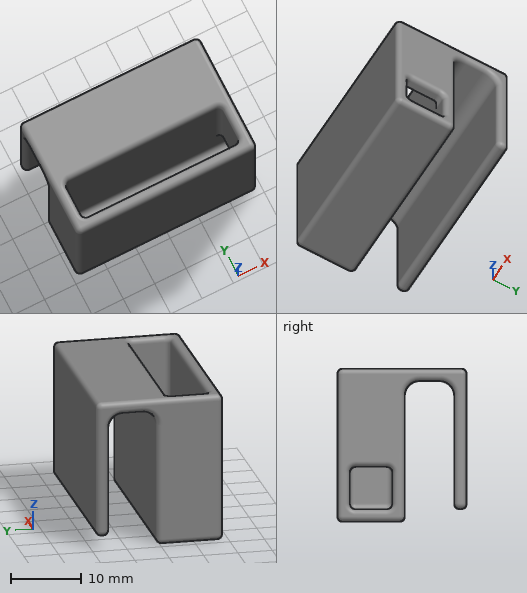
import cadquery as cq

length = 28.6
depth = 18.4
height = 21.8

wall = 1.8
edge_radius = 0.8

slot_width = 6.98
slot_corner_radius = 2.05
leg_shortfall = 1.8

body_depth = depth - wall - slot_width
slot_back = depth - wall
slot_top = height - wall

pocket_length = length - 2 * wall
pocket_width = body_depth - 2 * wall
pocket_depth = height - wall

window_height = pocket_width


def make_clip():
    """Hook-shaped profile extruded along X, with all its edges rounded."""
    profile = (
        cq.Workplane("YZ")
        .moveTo(0, 0)
        .lineTo(body_depth, 0)
        .lineTo(body_depth, slot_top - slot_corner_radius)
        .radiusArc((body_depth + slot_corner_radius, slot_top), slot_corner_radius)
        .lineTo(slot_back - slot_corner_radius, slot_top)
        .radiusArc((slot_back, slot_top - slot_corner_radius), slot_corner_radius)
        .lineTo(slot_back, leg_shortfall)
        .lineTo(depth, leg_shortfall)
        .lineTo(depth, height)
        .lineTo(0, height)
        .close()
    )
    clip = profile.extrude(length)
    end_outlines = clip.faces("<X or >X").edges()
    sharp_corners = clip.edges("|X").filter(is_sharp_corner)
    return end_outlines.add(sharp_corners).fillet(edge_radius)


def is_sharp_corner(edge):
    """True for lengthwise edges on the outside, false for the tangent seams in the slot roof."""
    middle = edge.Center()
    on_outer_side = min(middle.y, depth - middle.y) < edge_radius
    on_lower_end = middle.z < leg_shortfall + edge_radius
    return on_outer_side or on_lower_end


def make_pocket():
    """Pocket volume with rounded vertical corners and a rounded floor."""
    return (
        cq.Workplane("XY")
        .box(pocket_length, pocket_width, pocket_depth, centered=False)
        .edges("|Z or <Z")
        .fillet(edge_radius)
        .translate((wall, wall, wall))
    )


def make_window():
    """Square window with rounded corners, running from inside the pocket out through +X."""
    window_start = length / 2
    return (
        cq.Workplane("XY")
        .box(length - window_start, pocket_width, window_height, centered=False)
        .edges("|X")
        .fillet(edge_radius)
        .translate((window_start, wall, wall))
    )


def is_opening_rim(edge):
    """True for edges that lie within the outline of the pocket and window."""
    box = edge.BoundingBox()
    clearance = wall - edge_radius / 2
    inside_width = box.ymin > clearance and box.ymax < body_depth - clearance
    on_top = box.zmin > height - edge_radius / 2
    inside_length = box.xmin > clearance and box.xmax < length - clearance
    inside_height = box.zmin > clearance and box.zmax < height - clearance
    return inside_width and (inside_length if on_top else inside_height)


hollow_clip = make_clip().cut(make_pocket().union(make_window()))
opening_rims = hollow_clip.faces(">Z or >X").edges().filter(is_opening_rim)
result = opening_rims.fillet(edge_radius)